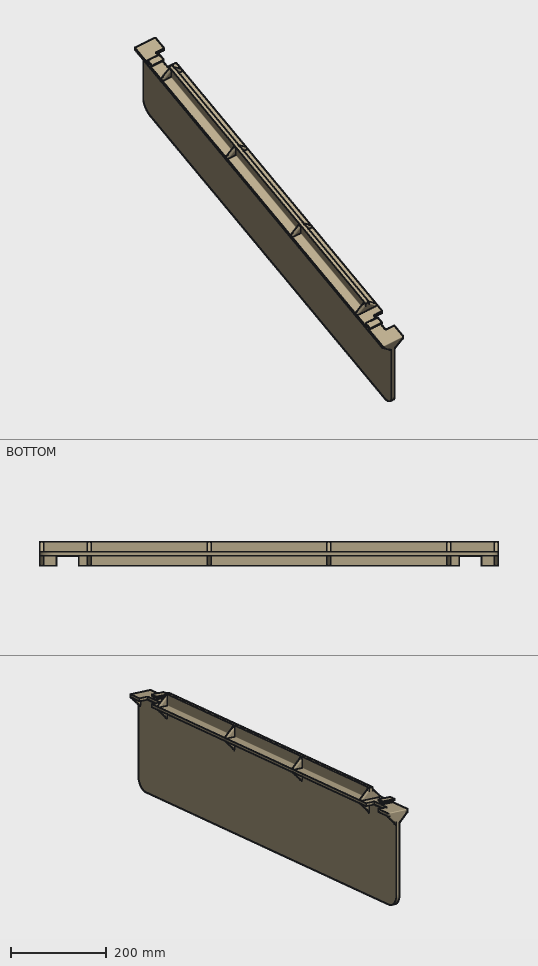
import cadquery as cq
import math

length = 960.0
depth = 51.0
height = 238.0

panel_thickness = 9.0
deck_thickness = 7.0
upstand_height = 25.0
upstand_length = 761.0
blade_corner_radius = 29.0
deck_top = height - upstand_height
deck_bottom = deck_top - deck_thickness

cove_radius = 1.4
deck_edge_radius = 2.0

rib_thickness = 9.0
rib_count = 4
rib_blend_radius = 9.0
rib_nose_radius = 3.0
blend_half_angle = math.radians(22.5)

notch_width = 46.0
notch_end_offset = 59.0
notch_center = length / 2 - notch_end_offset
rail_height = 9.0
rail_cap_width = 17.0
rail_cap_thickness = 3.0
rail_stem_width = 7.0


def slab(size_x, y_min, y_max, z_min, z_max, center_x=0.0):
    """Box centred on center_x with the given Y and Z limits."""
    return (
        cq.Workplane("XY")
        .box(size_x, y_max - y_min, z_max - z_min, centered=(True, False, False))
        .translate((center_x, y_min, z_min))
    )


def extrude_along_x(outline, size_x, center_x=0.0):
    """Close a YZ outline and extrude it to a given length centred on center_x."""
    return outline.close().extrude(size_x / 2, both=True).translate((center_x, 0, 0))


def cove_pair(size_x, base_z, direction):
    """Concave fillets where a panel meets the deck; direction is +1 above it, -1 below."""
    inner = panel_thickness / 2
    outer = inner + cove_radius
    arc_offset = cove_radius * (1 - math.sqrt(0.5))
    tip_z = base_z + direction * cove_radius
    middle_z = base_z + direction * arc_offset
    outline = (
        cq.Workplane("YZ")
        .moveTo(-outer, base_z)
        .threePointArc((-inner - arc_offset, middle_z), (-inner, tip_z))
        .lineTo(inner, tip_z)
        .threePointArc((inner + arc_offset, middle_z), (outer, base_z))
    )
    return extrude_along_x(outline, size_x)


def rib(center_x, base_z, direction):
    """Rib on both faces of a panel; direction is +1 above the deck, -1 below."""
    panel_face = panel_thickness / 2
    corner_height = depth / 2 - panel_face
    tangent_length = rib_blend_radius * math.tan(blend_half_angle)

    tip_height = corner_height + tangent_length
    slope_y = panel_face + tangent_length * math.sqrt(0.5)
    slope_height = depth / 2 - slope_y
    middle_y = panel_face + rib_blend_radius * (1 - math.cos(blend_half_angle))
    middle_height = tip_height - rib_blend_radius * math.sin(blend_half_angle)

    def at(y, rise):
        """Outline point at a given rise from the deck face."""
        return (y, base_z + direction * rise)

    outline = (
        cq.Workplane("YZ")
        .moveTo(*at(-depth / 2, 0))
        .lineTo(*at(-slope_y, slope_height))
        .threePointArc(at(-middle_y, middle_height), at(-panel_face, tip_height))
        .lineTo(*at(panel_face, tip_height))
        .threePointArc(at(middle_y, middle_height), at(slope_y, slope_height))
        .lineTo(*at(depth / 2, 0))
    )
    body = extrude_along_x(outline, rib_thickness, center_x)

    nose_edges = body.faces("<X or >X").edges("not #Z").edges("not |Y")
    rounded = nose_edges.fillet(rib_nose_radius)
    core_bottom, core_top = sorted((base_z, base_z + direction * tip_height))
    core = slab(rib_thickness, -panel_face, panel_face, core_bottom, core_top, center_x)
    return rounded.union(core)


def rail(center_x):
    """T-section rail running from the front edge of the deck to the notch."""
    top = deck_top + rail_height
    stem = slab(rail_stem_width, -depth / 2, panel_thickness / 2, deck_top, top, center_x)
    cap = slab(rail_cap_width, -depth / 2, panel_thickness / 2, top - rail_cap_thickness, top, center_x)
    return stem.union(cap)


blade = slab(length, -panel_thickness / 2, panel_thickness / 2, 0, deck_bottom)
blade = blade.edges("|Y and <Z").fillet(blade_corner_radius)
upstand = slab(upstand_length, -panel_thickness / 2, panel_thickness / 2, deck_top, height)
deck = slab(length, -depth / 2, depth / 2, deck_bottom, deck_top)
deck = deck.faces("<X or >X").edges("|Z or >Z").fillet(deck_edge_radius)
result = deck.union(blade).union(upstand)
result = result.union(cove_pair(length, deck_bottom, -1))
result = result.union(cove_pair(upstand_length, deck_top, 1))

rib_span = upstand_length - rib_thickness
for index in range(rib_count):
    rib_x = -rib_span / 2 + index * rib_span / (rib_count - 1)
    result = result.union(rib(rib_x, deck_top, 1))
    result = result.union(rib(rib_x, deck_bottom, -1))

for side in (-1, 1):
    result = result.union(rib(side * (length - rib_thickness) / 2, deck_bottom, -1))
    notch = slab(notch_width, panel_thickness / 2, depth / 2, deck_bottom, deck_top, side * notch_center)
    result = result.cut(notch)
    result = result.union(rail(side * notch_center))